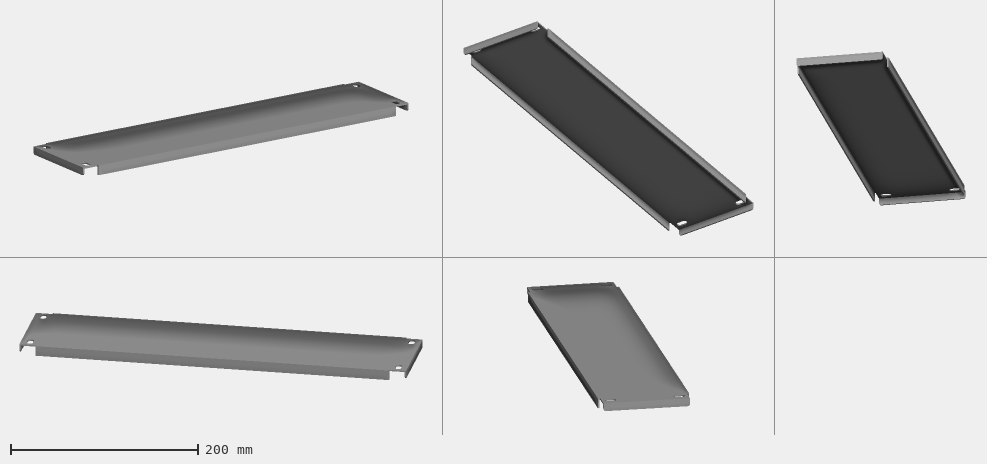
import cadquery as cq

length = 420.0
width = 99.0
height = 11.0

sheet = 1.5
notch_length = 18.0
notch_depth = 2.5
end_flange_height = 9.0
flange_corner_radius = 2.5

slot_length = 12.0
slot_width = 6.7
slot_spacing_x = 74.8
slot_spacing_y = 400.0

end_width = width - 2 * notch_depth
side_length = length - 2 * notch_length


def block(size_x, size_y, size_z, x=0, y=0):
    """Box centred on (x, y) with its top face on the cover's top plane."""
    return cq.Workplane("XY").box(size_x, size_y, size_z, centered=(True, True, False)).translate(
        (x, y, height - size_z)
    )


def end_flange(side):
    """Short folded end with rounded lower corners; side is -1 or 1."""
    flange = block(end_width, sheet, end_flange_height, y=side * (length - sheet) / 2)
    return flange.edges("|Y and <Z").fillet(flange_corner_radius)


cover = block(width, side_length, sheet).union(block(end_width, length, sheet))

for side in (-1, 1):
    side_flange = block(sheet, side_length, height, x=side * (width - sheet) / 2)
    cover = cover.union(side_flange).union(end_flange(side))

slots = (
    cq.Workplane("XY")
    .workplane(offset=height - sheet)
    .rarray(slot_spacing_x, slot_spacing_y, 2, 2)
    .slot2D(slot_length, slot_width)
    .extrude(sheet)
)

result = cover.cut(slots)